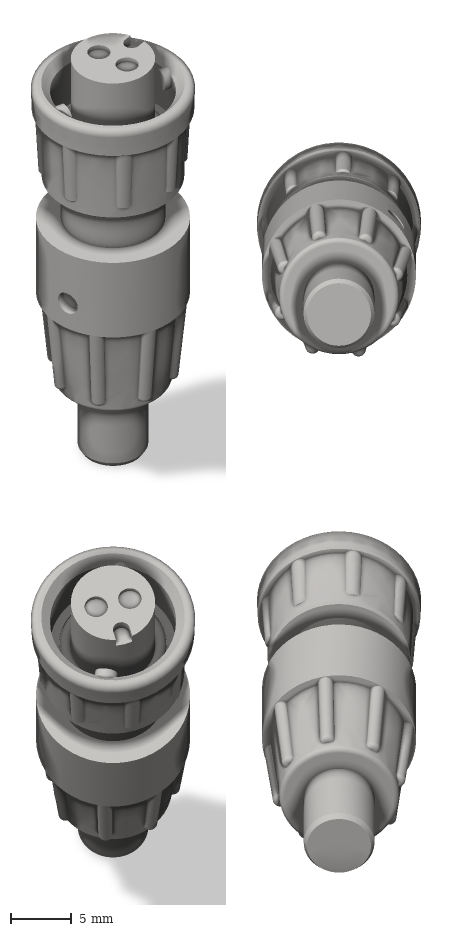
import cadquery as cq
import math

total_height = 39.88
lower_sleeve_bottom = 7.15
body_bottom = 15.95
body_top = 23.6
collar_bottom = 27.7
band_bottom = 34.7
collar_top = 37.35
socket_floor = 32.4
bore_chamfer_height = 0.8

cable_radius = 2.9
lower_sleeve_bottom_radius = 4.85
lower_sleeve_top_radius = 5.62
body_radius = 6.35
neck_radius = 4.3
collar_bottom_radius = 5.85
collar_top_radius = 6.1
band_bottom_radius = 6.7
band_top_radius = 6.78
bore_radius = 5.2
bore_mouth_radius = 5.9
insert_radius = 3.45

cable_chamfer = 0.28
cable_chamfer_height = 0.48
sleeve_fillet = 0.4
collar_chamfer = 0.2
band_chamfer = 0.15
rim_fillet = 0.55

ring_outer_radius = 4.4
gap_outer_radius = 4.45
gap_depth = 0.2

contact_radius = 0.95
contact_offset = 1.45
contact_depth = 0.48
key_width = 1.4
key_bottom = 1.9
key_depth = 1.0

pin_radius = 0.9
pin_inner_radius = 4.55
pin_outer_radius = 5.65
pin_height = 35.9
pin_angles = (67.5, 247.5)

side_hole_radius = 1.0
side_hole_height = 18.55
side_hole_depth = 0.8

rib_count = 8
rib_overlap = 0.4
upper_rib_top = (5.65, band_bottom + rib_overlap, 0.85)
upper_rib_bottom = (5.42, 28.87, 0.75)
upper_rib_chamfer = 0.2
lower_rib_top = (5.65, body_bottom + rib_overlap, 0.65)
lower_rib_bottom = (4.9, 8.05, 0.6)
lower_rib_fillet = 0.4


def cylinder(radius, bottom, top):
    return cq.Workplane("XY").workplane(offset=bottom).circle(radius).extrude(top - bottom)


def cone(bottom_radius, top_radius, bottom, top):
    outline = [(0, bottom), (bottom_radius, bottom), (top_radius, top), (0, top)]
    return cq.Workplane("XZ").polyline(outline).close().revolve(360, (0, 0), (0, 1))


def make_rib(top, bottom):
    """Tapered round bar leaning in the XZ plane, from its lower end to its upper end."""
    start = cq.Vector(bottom[0], 0, bottom[1])
    axis = cq.Vector(top[0], 0, top[1]) - start
    return cq.Workplane(cq.Solid.makeCone(bottom[2], top[2], axis.Length, start, axis))


def add_ribs(base, rib, first_angle):
    for index in range(rib_count):
        angle = first_angle + index * 360 / rib_count
        base = base.union(rib.rotate((0, 0, 0), (0, 0, 1), angle))
    return base


cable = cylinder(cable_radius, cable_chamfer_height, body_bottom)
cable = cable.union(cone(cable_radius - cable_chamfer, cable_radius, 0, cable_chamfer_height))

lower_sleeve = cone(lower_sleeve_bottom_radius, lower_sleeve_top_radius, lower_sleeve_bottom, body_bottom)
lower_sleeve = lower_sleeve.faces("<Z").edges().fillet(sleeve_fillet)
lower_rib = make_rib(lower_rib_top, lower_rib_bottom).faces("<Z").edges().fillet(lower_rib_fillet)
lower_sleeve = add_ribs(lower_sleeve, lower_rib, 180 / rib_count)

body = cylinder(body_radius, body_bottom, body_top)
side_hole = (
    cq.Workplane("XZ", origin=(0, -body_radius + side_hole_depth, side_hole_height))
    .circle(side_hole_radius)
    .extrude(body_radius)
)
body = body.cut(side_hole)

neck = cylinder(neck_radius, body_top, collar_bottom)

collar = cone(collar_bottom_radius, collar_top_radius, collar_bottom, band_bottom)
collar = collar.faces("<Z").edges().chamfer(collar_chamfer)
band = cone(band_bottom_radius, band_top_radius, band_bottom, collar_top)
band = band.faces("<Z").edges().chamfer(band_chamfer)
band = band.faces(">Z").edges().fillet(rim_fillet)
upper_rib = make_rib(upper_rib_top, upper_rib_bottom).faces("<Z").edges().chamfer(upper_rib_chamfer)
collar = add_ribs(collar.union(band), upper_rib, 0)

collar = collar.cut(cylinder(bore_radius, socket_floor, collar_top))
collar = collar.cut(cone(bore_radius, bore_mouth_radius, collar_top - bore_chamfer_height, collar_top))
gap = cylinder(gap_outer_radius, socket_floor - gap_depth, socket_floor)
collar = collar.cut(gap.cut(cylinder(ring_outer_radius, socket_floor - gap_depth, socket_floor)))

ring_section_radius = (ring_outer_radius - insert_radius) / 2
ring = cq.Workplane(
    cq.Solid.makeTorus(insert_radius + ring_section_radius, ring_section_radius, cq.Vector(0, 0, socket_floor))
)

for angle in pin_angles:
    direction = cq.Vector(math.cos(math.radians(angle)), math.sin(math.radians(angle)), 0)
    pin = cq.Solid.makeCylinder(pin_radius, pin_outer_radius, cq.Vector(0, 0, pin_height), direction)
    pin_inner_end = cylinder(pin_inner_radius, socket_floor, collar_top)
    collar = collar.union(cq.Workplane(pin).cut(pin_inner_end))

insert = cylinder(insert_radius, collar_bottom, total_height)
contacts = (
    cq.Workplane("XY", origin=(0, 0, total_height - contact_depth))
    .pushPoints([(-contact_offset, 0), (contact_offset, 0)])
    .circle(contact_radius)
    .extrude(contact_depth)
)
key_center = key_bottom + key_width / 2
key_length = 2 * (insert_radius - key_center) + key_width
keyway = (
    cq.Workplane("XY", origin=(0, insert_radius, total_height - key_depth))
    .slot2D(key_length, key_width, 90)
    .extrude(key_depth)
)
insert = insert.cut(contacts).cut(keyway)

result = cable.union(lower_sleeve).union(body).union(neck).union(collar).union(ring).union(insert)